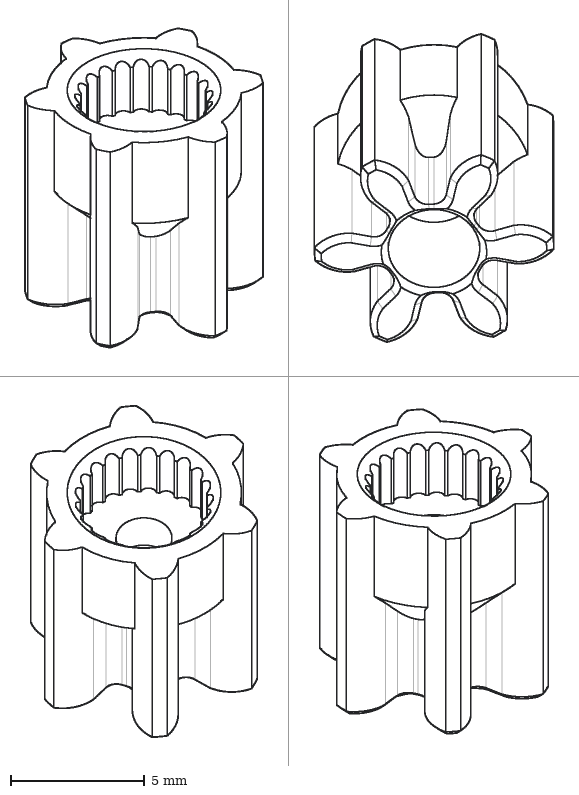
import cadquery as cq
import math

length = 8.99
height = 8.9
tooth_count = 6
first_tooth_angle = 24.6

tip_half_angle = 3.6
flank_top_radius = 3.66
flank_top_half_angle = 13.0
flank_end_radius = 3.16
flank_end_half_angle = 15.6
bottom_chamfer = 0.26
pitch = 360.0 / tooth_count
highest_corner_angle = first_tooth_angle + pitch + tip_half_angle
tip_radius = length / 2 / math.sin(math.radians(highest_corner_angle))

root_radius = 1.96
root_fillet = 0.51
wall_tilt = 15.0

shroud_radius = flank_top_radius
shroud_bottom = 5.3

socket_depth = 2.5
socket_mouth_radius = 2.89
spline_count = 21
spline_outer_radius = 2.6
spline_inner_radius = 2.4
lobe_radius = 0.315
first_lobe_angle = -90.0

screw_hole_diameter = 2.1
web_thickness = 1.49
recess_radius = 1.72

socket_floor = height - socket_depth
recess_depth = socket_floor - web_thickness


def polar(radius, degrees):
    angle = math.radians(degrees)
    return (radius * math.cos(angle), radius * math.sin(angle))


def groove_point(along, across, groove_angle):
    """Point given along and across the centre line of a groove."""
    angle = math.radians(groove_angle)
    x = along * math.cos(angle) - across * math.sin(angle)
    y = along * math.sin(angle) + across * math.cos(angle)
    return (x, y)


def toothed_outline(base_height):
    """Closed outline of teeth and grooves at the given height."""
    tilt = math.radians(wall_tilt)
    fillet_centre = root_radius + root_fillet
    wall_end_angle = math.radians(pitch / 2 - flank_end_half_angle)
    wall_end_along = flank_end_radius * math.cos(wall_end_angle)
    wall_end_across = flank_end_radius * math.sin(wall_end_angle)
    root_half_width = (
        wall_end_across
        - (wall_end_along - fillet_centre) * math.tan(tilt)
        - root_fillet / math.cos(tilt)
    )
    fillet_end = (
        fillet_centre - root_fillet * math.sin(tilt),
        root_half_width + root_fillet * math.cos(tilt),
    )
    half_turn = (math.pi / 2 - tilt) / 2
    fillet_middle = (
        fillet_centre - root_fillet * math.cos(half_turn),
        root_half_width + root_fillet * math.sin(half_turn),
    )

    outline = cq.Workplane("XY", origin=(0, 0, base_height))
    outline = outline.moveTo(*polar(tip_radius, first_tooth_angle - tip_half_angle))
    for index in range(tooth_count):
        tooth = first_tooth_angle + index * pitch
        groove = tooth + pitch / 2
        next_tooth = tooth + pitch
        outline = (
            outline.threePointArc(polar(tip_radius, tooth), polar(tip_radius, tooth + tip_half_angle))
            .threePointArc(
                polar(flank_top_radius, tooth + flank_top_half_angle),
                polar(flank_end_radius, tooth + flank_end_half_angle),
            )
            .lineTo(*groove_point(fillet_end[0], -fillet_end[1], groove))
            .threePointArc(
                groove_point(fillet_middle[0], -fillet_middle[1], groove),
                groove_point(root_radius, -root_half_width, groove),
            )
            .lineTo(*groove_point(root_radius, root_half_width, groove))
            .threePointArc(
                groove_point(*fillet_middle, groove),
                groove_point(*fillet_end, groove),
            )
            .lineTo(*polar(flank_end_radius, next_tooth - flank_end_half_angle))
            .threePointArc(
                polar(flank_top_radius, next_tooth - flank_top_half_angle),
                polar(tip_radius, next_tooth - tip_half_angle),
            )
        )
    return outline.close()


def toothed_body():
    """Star-shaped column whose foot tapers at 45 degrees as a bottom chamfer."""
    column = toothed_outline(bottom_chamfer).extrude(height - bottom_chamfer)
    foot = toothed_outline(bottom_chamfer).extrude(-bottom_chamfer, taper=45)
    return column.union(foot)


def shroud():
    """Cylinder around the upper grooves, ending in a 45 degree cone."""
    cone_bottom = shroud_bottom - shroud_radius
    return (
        cq.Workplane("XZ")
        .moveTo(0, cone_bottom)
        .lineTo(shroud_radius, shroud_bottom)
        .lineTo(shroud_radius, height)
        .lineTo(0, height)
        .close()
        .revolve(360, (0, 0), (0, 1))
    )


def splined_socket():
    """Socket volume: core, ring of round lobes and a 45 degree mouth."""
    core = cq.Workplane("XY", origin=(0, 0, socket_floor)).circle(spline_inner_radius).extrude(socket_depth)
    lobe_centre = spline_outer_radius - lobe_radius
    lobes = (
        cq.Workplane("XY", origin=(0, 0, socket_floor))
        .polarArray(lobe_centre, first_lobe_angle, 360, spline_count)
        .circle(lobe_radius)
        .extrude(socket_depth)
    )
    mouth_bottom = height - (socket_mouth_radius - spline_inner_radius)
    mouth = (
        cq.Workplane("XZ")
        .moveTo(0, mouth_bottom)
        .lineTo(spline_inner_radius, mouth_bottom)
        .lineTo(socket_mouth_radius, height)
        .lineTo(0, height)
        .close()
        .revolve(360, (0, 0), (0, 1))
    )
    return core.union(lobes).union(mouth)


def screw_passage():
    """Through hole with a chamfered recess below the web."""
    hole = cq.Workplane("XY").circle(screw_hole_diameter / 2).extrude(height)
    recess = cq.Workplane("XY").circle(recess_radius).extrude(recess_depth)
    entry = (
        cq.Workplane("XY")
        .circle(recess_radius + bottom_chamfer)
        .workplane(offset=bottom_chamfer)
        .circle(recess_radius)
        .loft()
    )
    return hole.union(recess).union(entry)


result = toothed_body().union(shroud()).cut(splined_socket()).cut(screw_passage())